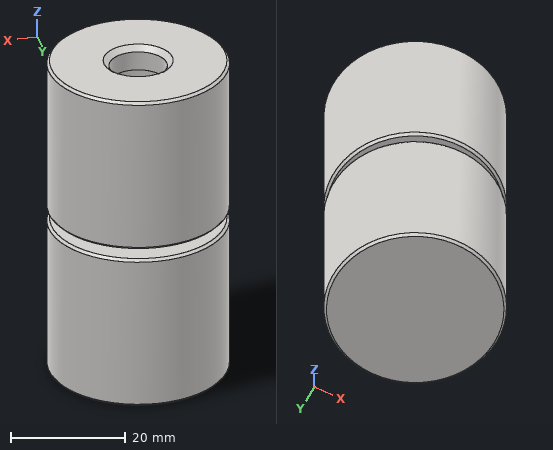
import cadquery as cq

total_height = 60.0
body_diameter = 32.0
gap = 2.0
body_height = (total_height - gap) / 2
edge_chamfer = 0.5

shaft_diameter = 20.0
shaft_engagement = 10.0
shaft_length = gap + shaft_engagement

end_wall = 4.55
hole_diameter = 10.2
hole_mouth_diameter = 12.25
countersink_angle = 90

upper_bottom_z = body_height + gap
bore_depth = body_height - end_wall


def chamfered_cylinder(bottom_z):
    """Full-diameter cylinder with both rims chamfered, standing at bottom_z."""
    return (
        cq.Workplane("XY", origin=(0, 0, bottom_z))
        .circle(body_diameter / 2)
        .extrude(body_height)
        .faces("<Z or >Z")
        .chamfer(edge_chamfer)
    )


def shaft_cylinder(bottom_z, length):
    """Plain cylinder of the shaft diameter, used for the shaft and for its bore."""
    return (
        cq.Workplane("XY", origin=(0, 0, bottom_z))
        .circle(shaft_diameter / 2)
        .extrude(length)
    )


def make_lower_body():
    """Solid cylinder with the shaft rising from its top face."""
    return chamfered_cylinder(0).union(shaft_cylinder(body_height, shaft_length))


def make_upper_body():
    """Cap: bored from below for the shaft, with a countersunk hole through its end wall."""
    bored = chamfered_cylinder(upper_bottom_z).cut(shaft_cylinder(upper_bottom_z, bore_depth))
    return (
        bored.faces(">Z")
        .workplane(origin=(0, 0, total_height))
        .cskHole(hole_diameter, hole_mouth_diameter, countersink_angle, depth=end_wall)
    )


lower_body = make_lower_body()
upper_body = make_upper_body()

result = cq.Compound.makeCompound([lower_body.val(), upper_body.val()])